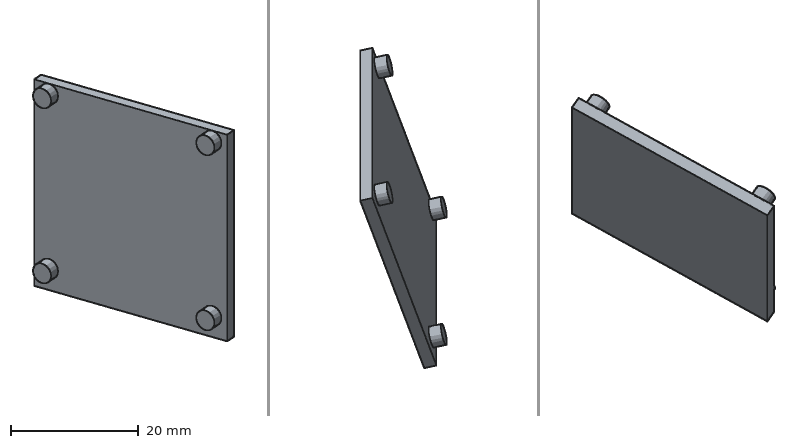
import cadquery as cq

plate_side = 36.0
total_depth = 4.0
plate_thickness = total_depth / 2
pin_length = total_depth - plate_thickness
pin_diameter = 3.4
pin_spacing = 30.5
pin_pattern_rise = 1.0


def make_plate():
    """Plate centred on X and Z, with its front face at Y = 0."""
    return cq.Workplane("XY").box(
        plate_side, plate_thickness, plate_side, centered=(True, False, True)
    )


def make_pins():
    """Four round pins pointing toward -Y from the front face."""
    return (
        cq.Workplane("XZ")
        .center(0, pin_pattern_rise)
        .rect(pin_spacing, pin_spacing, forConstruction=True)
        .vertices()
        .circle(pin_diameter / 2)
        .extrude(pin_length)
    )


result = make_plate().union(make_pins())